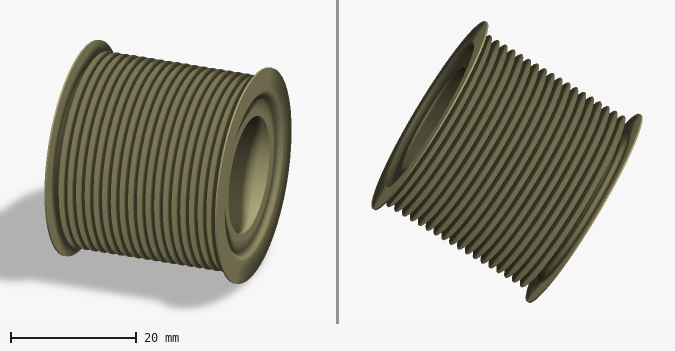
import cadquery as cq
import math

LENGTH = 29.2
FLANGE_RADIUS = 17.45
BORE_RADIUS = 9.55

SHEET = 0.28
RIM_INNER_RADIUS = 13.75
HUB_OUTER_RADIUS = 12.22
BEND_RADIUS = 0.77
BEND_ANGLE = math.radians(42)

RIDGE_COUNT = 18
PLAIN_BAND = 0.42
ROOT_RADIUS = 11.5
TIP_RADIUS = 15.95

bend_run = BEND_RADIUS * math.sin(BEND_ANGLE)
bend_drop = BEND_RADIUS * (1 - math.cos(BEND_ANGLE))
cone_run = RIM_INNER_RADIUS - HUB_OUTER_RADIUS - 2 * bend_run
hub_inset = 2 * bend_drop + cone_run * math.tan(BEND_ANGLE)
flange_depth = hub_inset + SHEET
half_length = LENGTH / 2
core_start = flange_depth - half_length
core_end = -core_start
ridge_pitch = (core_end - core_start - PLAIN_BAND) / RIDGE_COUNT


def spin(profile):
    """Revolve a profile drawn as (x, radius) about the X axis."""
    return profile.close().revolve(360, (0, 0, 0), (1, 0, 0))


def make_flange():
    """Flange for the -X end, its rim face on the end plane."""
    outer_face = -half_length
    rim_centre = (outer_face + BEND_RADIUS, RIM_INNER_RADIUS)
    hub_centre = (outer_face + hub_inset - BEND_RADIUS, HUB_OUTER_RADIUS)

    def rim_bend(radius, angle):
        return (rim_centre[0] - radius * math.cos(angle), rim_centre[1] - radius * math.sin(angle))

    def hub_bend(radius, angle):
        return (hub_centre[0] + radius * math.cos(angle), hub_centre[1] + radius * math.sin(angle))

    rim_back = BEND_RADIUS - SHEET
    hub_back = BEND_RADIUS + SHEET
    half_bend = BEND_ANGLE / 2
    profile = (
        cq.Workplane("XZ")
        .moveTo(outer_face, FLANGE_RADIUS)
        .lineTo(*rim_bend(BEND_RADIUS, 0))
        .threePointArc(rim_bend(BEND_RADIUS, half_bend), rim_bend(BEND_RADIUS, BEND_ANGLE))
        .lineTo(*hub_bend(BEND_RADIUS, BEND_ANGLE))
        .threePointArc(hub_bend(BEND_RADIUS, half_bend), hub_bend(BEND_RADIUS, 0))
        .lineTo(outer_face + hub_inset, BORE_RADIUS)
        .lineTo(outer_face + flange_depth, BORE_RADIUS)
        .lineTo(*hub_bend(hub_back, 0))
        .threePointArc(hub_bend(hub_back, half_bend), hub_bend(hub_back, BEND_ANGLE))
        .lineTo(*rim_bend(rim_back, BEND_ANGLE))
        .threePointArc(rim_bend(rim_back, half_bend), rim_bend(rim_back, 0))
        .lineTo(outer_face + SHEET, FLANGE_RADIUS)
    )
    return spin(profile)


def make_core():
    """Bored sleeve with sharp ridges that start at its -X end and leave a plain band at +X."""
    profile = cq.Workplane("XZ").moveTo(core_start, BORE_RADIUS).lineTo(core_start, ROOT_RADIUS)
    for index in range(RIDGE_COUNT):
        ridge_start = core_start + index * ridge_pitch
        profile = profile.lineTo(ridge_start + ridge_pitch / 2, TIP_RADIUS)
        profile = profile.lineTo(ridge_start + ridge_pitch, ROOT_RADIUS)
    profile = profile.lineTo(core_end, ROOT_RADIUS).lineTo(core_end, BORE_RADIUS)
    return spin(profile)


end_flange = make_flange()

pulley = make_core().union(make_flange().mirror("YZ"))

result = cq.Compound.makeCompound([pulley.val(), end_flange.val()])